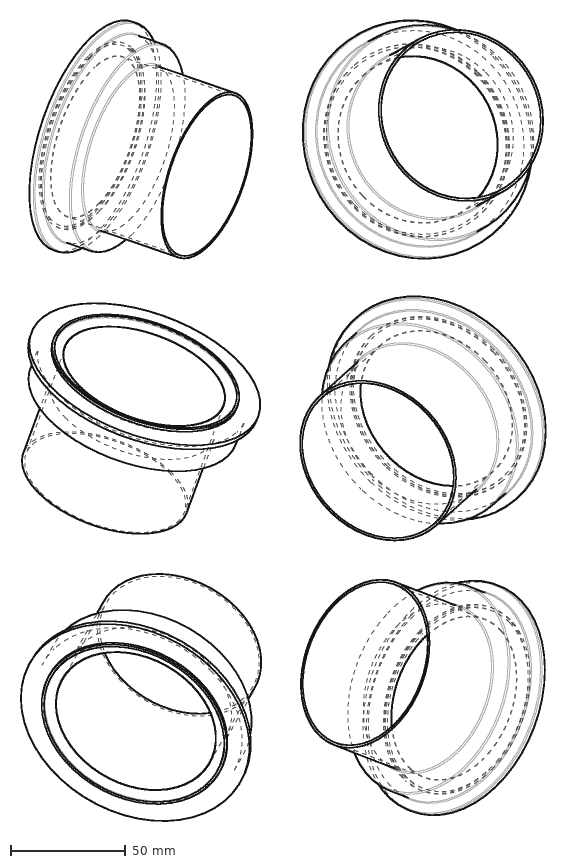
import cadquery as cq
import math

total_length = 60.0
flange_start = 1.3
flange_rim_end = 3.7
collar_start = 5.3
collar_end = 19.3

flange_radius = 53.0
collar_radius = 48.0
lip_radius = 42.9
tube_radius = 38.2
bore_radius = 37.0

groove_inner_radius = 37.2
groove_outer_radius = 41.8
groove_arc_radius = 2.5
groove_arc_center_x = 0.8
edge_rounding = 0.6


def revolve_about_x(profile):
    """Revolve a profile, drawn as (x, radius), a full turn about the X axis."""
    return profile.revolve(360, (0, 0, 0), (1, 0, 0))


def make_body():
    """Lip, tapered flange, collar and tube around a plain bore."""
    outline = [
        (0, bore_radius),
        (0, lip_radius),
        (flange_start, lip_radius),
        (flange_start, flange_radius),
        (flange_rim_end, flange_radius),
        (collar_start, collar_radius),
        (collar_end, collar_radius),
        (collar_end, tube_radius),
        (total_length, tube_radius),
        (total_length, bore_radius),
    ]
    rounded_corners = [
        (flange_rim_end, flange_radius),
        (collar_start, collar_radius),
        (collar_end, collar_radius),
        (collar_end, tube_radius),
    ]
    section = cq.Sketch().polygon(outline + outline[:1])
    for x, radius in rounded_corners:
        corner = cq.selectors.NearestToPointSelector((x, radius, 0))
        section = section.reset().vertices(corner).fillet(edge_rounding)
    return revolve_about_x(cq.Workplane("XY").placeSketch(section))


def make_groove():
    """Groove with a straight outer wall, round floor and a low inner rim beside the bore."""
    center_radius = groove_outer_radius - groove_arc_radius
    inner_offset = center_radius - groove_inner_radius
    inner_rim_x = groove_arc_center_x + math.sqrt(groove_arc_radius**2 - inner_offset**2)
    profile = (
        cq.Workplane("XY")
        .moveTo(0, bore_radius)
        .lineTo(0, groove_outer_radius)
        .lineTo(groove_arc_center_x, groove_outer_radius)
        .threePointArc(
            (groove_arc_center_x + groove_arc_radius, center_radius),
            (inner_rim_x, groove_inner_radius),
        )
        .lineTo(inner_rim_x, bore_radius)
        .close()
    )
    return revolve_about_x(profile)


result = make_body().cut(make_groove())